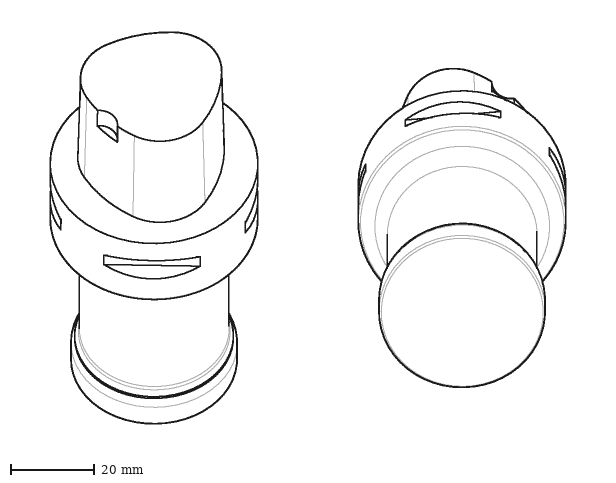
import cadquery as cq
import math

TOTAL_HEIGHT = 105.0
FLANGE_TOP = 75.0
SEAM_HEIGHT = 8.9

FLANGE_RADIUS = 50.0 / 2
SHANK_RADIUS = 36.0 / 2
FLANGE_CORNER_HEIGHT = 53.4
FLANGE_CONE_ANGLE = 30.0
FLANGE_EDGE_FILLET = 1.0
SHANK_FILLET = 6.0
COLLAR_RADIUS = 19.1
COLLAR_TOP = 9.6
COLLAR_CONE_TOP = 11.7
COLLAR_CONE_FILLET = 2.1

LOBE_RADIUS = 12.6
LOBE_OFFSET = 6.0
FLAT_DISTANCE = 16.3
TAPER_INSET = 0.6

NOTCH_RADIUS = 4.5
NOTCH_CENTER_Y = -18.4
NOTCH_DEPTH = 5.8

GROOVE_COUNT = 4
GROOVE_FIRST_ANGLE = 45.0
GROOVE_CENTER_HEIGHT = 65.0
GROOVE_FLOOR_DISTANCE = 22.2
GROOVE_FLOOR_WIDTH = 3.6
GROOVE_MOUTH_WIDTH = 6.9

NUT_RADIUS = 20.0
NUT_SHOULDER_HEIGHT = 6.7
NUT_BOTTOM_FILLET = 0.5


def polar(radius, degrees):
    angle = math.radians(degrees)
    return radius * math.cos(angle), radius * math.sin(angle)


def edge_at(radius, height):
    """Selector for the circular edge of a turned body at a radius and height."""
    margin = 0.01
    return cq.selectors.BoxSelector(
        (-radius - margin, -radius - margin, height - margin),
        (radius + margin, radius + margin, height + margin),
        boundingbox=True,
    )


def make_turned_holder():
    cone_drop = (FLANGE_RADIUS - SHANK_RADIUS) * math.tan(math.radians(FLANGE_CONE_ANGLE))
    shank_top = FLANGE_CORNER_HEIGHT - cone_drop
    body = (
        cq.Workplane("XZ")
        .moveTo(0, SEAM_HEIGHT)
        .lineTo(COLLAR_RADIUS, SEAM_HEIGHT)
        .lineTo(COLLAR_RADIUS, COLLAR_TOP)
        .lineTo(SHANK_RADIUS, COLLAR_CONE_TOP)
        .lineTo(SHANK_RADIUS, shank_top)
        .lineTo(FLANGE_RADIUS, FLANGE_CORNER_HEIGHT)
        .lineTo(FLANGE_RADIUS, FLANGE_TOP)
        .lineTo(0, FLANGE_TOP)
        .close()
        .revolve(360, (0, 0, 0), (0, 1, 0))
    )
    body = body.edges(edge_at(SHANK_RADIUS, shank_top)).fillet(SHANK_FILLET)
    body = body.edges(edge_at(FLANGE_RADIUS, FLANGE_CORNER_HEIGHT)).fillet(FLANGE_EDGE_FILLET)
    return body.edges(edge_at(SHANK_RADIUS, COLLAR_CONE_TOP)).fillet(COLLAR_CONE_FILLET)


def lobed_outline(height, inset):
    """Closed outline of three lobes joined by three tangent shallow arcs."""
    lobe_radius = LOBE_RADIUS - inset
    flat_distance = FLAT_DISTANCE - inset
    gap = flat_distance - lobe_radius
    center_distance = (LOBE_OFFSET**2 - gap**2) / (2 * gap - LOBE_OFFSET)
    lobe_side = LOBE_OFFSET * math.sin(math.radians(60))
    lobe_depth = LOBE_OFFSET * math.cos(math.radians(60))
    joint_tilt = math.degrees(math.atan2(lobe_side, center_distance + lobe_depth))
    joint_x = lobe_side + lobe_radius * math.sin(math.radians(joint_tilt))
    joint_y = lobe_depth + lobe_radius * math.cos(math.radians(joint_tilt))
    joint_radius = math.hypot(joint_x, joint_y)
    joint_angle = math.degrees(math.atan2(joint_x, joint_y))

    first_flat = -90
    outline = cq.Workplane("XY", origin=(0, 0, height))
    outline = outline.moveTo(*polar(joint_radius, first_flat - joint_angle))
    for flat_angle in (first_flat, first_flat + 120, first_flat + 240):
        flat_end = polar(joint_radius, flat_angle + joint_angle)
        lobe_end = polar(joint_radius, flat_angle + 120 - joint_angle)
        outline = outline.threePointArc(polar(flat_distance, flat_angle), flat_end)
        outline = outline.threePointArc(polar(LOBE_OFFSET + lobe_radius, flat_angle + 60), lobe_end)
    return outline.close().val()


def make_lobed_shank():
    base = lobed_outline(FLANGE_TOP, 0)
    top = lobed_outline(TOTAL_HEIGHT, TAPER_INSET)
    return cq.Workplane(cq.Solid.makeLoft([base, top], True))


def make_notch_cutter():
    return (
        cq.Workplane("XY", origin=(0, NOTCH_CENTER_Y, TOTAL_HEIGHT - NOTCH_DEPTH))
        .circle(NOTCH_RADIUS)
        .extrude(NOTCH_DEPTH)
    )


def make_groove_cutter(angle):
    """Straight trapezoidal groove that opens outward in the given direction."""
    mouth_half = GROOVE_MOUTH_WIDTH / 2
    floor_half = GROOVE_FLOOR_WIDTH / 2
    return (
        cq.Workplane("XZ")
        .moveTo(GROOVE_FLOOR_DISTANCE, GROOVE_CENTER_HEIGHT - floor_half)
        .lineTo(FLANGE_RADIUS, GROOVE_CENTER_HEIGHT - mouth_half)
        .lineTo(FLANGE_RADIUS, GROOVE_CENTER_HEIGHT + mouth_half)
        .lineTo(GROOVE_FLOOR_DISTANCE, GROOVE_CENTER_HEIGHT + floor_half)
        .close()
        .extrude(FLANGE_RADIUS, both=True)
        .rotate((0, 0, 0), (0, 0, 1), angle)
    )


def make_holder():
    body = make_turned_holder().union(make_lobed_shank())
    body = body.cut(make_notch_cutter())
    for index in range(GROOVE_COUNT):
        angle = GROOVE_FIRST_ANGLE + index * 360 / GROOVE_COUNT
        body = body.cut(make_groove_cutter(angle))
    return body


def make_nut():
    """Round nut below the collar; its rounded shoulder runs tangent into its side."""
    shoulder_step = NUT_RADIUS - COLLAR_RADIUS
    shoulder_rise = SEAM_HEIGHT - NUT_SHOULDER_HEIGHT
    shoulder_radius = (shoulder_step**2 + shoulder_rise**2) / (2 * shoulder_step)
    nut = (
        cq.Workplane("XZ")
        .lineTo(NUT_RADIUS, 0)
        .lineTo(NUT_RADIUS, NUT_SHOULDER_HEIGHT)
        .radiusArc((COLLAR_RADIUS, SEAM_HEIGHT), -shoulder_radius)
        .lineTo(0, SEAM_HEIGHT)
        .close()
        .revolve(360, (0, 0, 0), (0, 1, 0))
    )
    return nut.edges(edge_at(NUT_RADIUS, 0)).fillet(NUT_BOTTOM_FILLET)


holder = make_holder()
nut = make_nut()
result = cq.Compound.makeCompound([holder.solids().val(), nut.solids().val()])